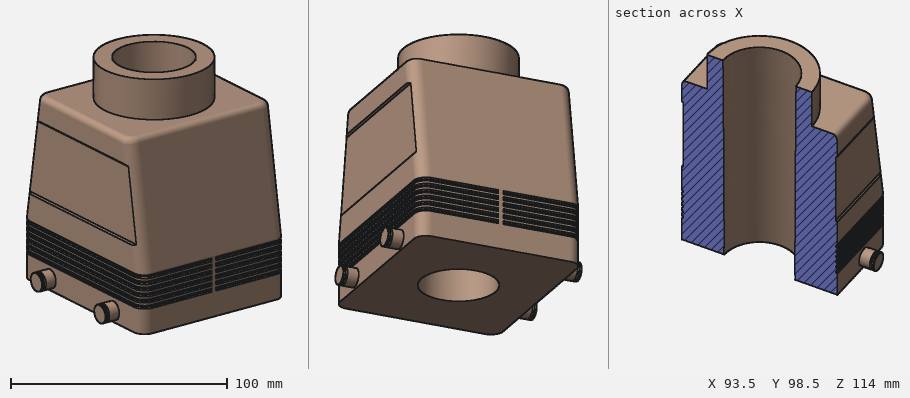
import cadquery as cq
import math

LENGTH = 93.5
WIDTH = 82.9
BODY_HEIGHT = 93.9
BELT_HEIGHT = 30.3
TOP_LENGTH = 72.3
CORNER_RADIUS = 6.0
ROOF_RADIUS = 3.0

TOTAL_HEIGHT = 114.0
COLLAR_DIAMETER = 56.0
BORE_TOP_DIAMETER = 38.8
BORE_BOTTOM_DIAMETER = 37.6

RECESS_BOTTOM = 42.9
RECESS_TOP = 81.2
RECESS_DEPTH = 0.8

GROOVE_COUNT = 6
GROOVE_SPAN = 15.0
LOWEST_GROOVE = 13.5
GROOVE_WIDTH = 1.7
GROOVE_FLOOR = 0.5
GROOVE_DEPTH = 0.6
GROOVE_GAP = 2.6

PEG_SPACING = 49.4
PEG_HEIGHT = 5.8
PEG_DIAMETER = 9.2
PEG_TIP_SPAN = 98.5
PEG_HEAD_THICKNESS = 1.1
PEG_NECK_LENGTH = 1.0
PEG_NECK_DIAMETER = 5.1
PEG_CHAMFER = 0.2


def make_body():
    half = LENGTH / 2
    half_top = TOP_LENGTH / 2
    outline = [
        (-half, 0),
        (half, 0),
        (half, BELT_HEIGHT),
        (half_top, BODY_HEIGHT),
        (-half_top, BODY_HEIGHT),
        (-half, BELT_HEIGHT),
    ]
    block = cq.Workplane("XZ").polyline(outline).close().extrude(WIDTH / 2, both=True)
    block = block.edges("not #Z").fillet(CORNER_RADIUS)
    return block.faces(">Z").edges().fillet(ROOF_RADIUS)


def make_recess():
    """Bar with sloping top and bottom walls, as deep as its slopes are high."""
    face = WIDTH / 2
    floor = face - RECESS_DEPTH
    profile = [
        (face, RECESS_BOTTOM),
        (floor, RECESS_BOTTOM + RECESS_DEPTH),
        (floor, RECESS_TOP - RECESS_DEPTH),
        (face, RECESS_TOP),
    ]
    bar = cq.Workplane("YZ").polyline(profile).close().extrude(LENGTH / 2, both=True)
    return bar.union(bar.mirror("XZ"))


def belt_section(inset=0.0):
    length = LENGTH - 2 * inset
    width = WIDTH - 2 * inset
    return cq.Sketch().rect(length, width).vertices().fillet(CORNER_RADIUS - inset)


def make_groove():
    """Ring with sloping shoulders around the belt, its underside at z = 0."""
    shoulder = (GROOVE_WIDTH - GROOVE_FLOOR) / 2
    slope = math.degrees(math.atan2(GROOVE_DEPTH, shoulder))
    core = (
        cq.Workplane("XY")
        .placeSketch(belt_section())
        .extrude(shoulder, taper=slope)
    )
    core = core.union(
        cq.Workplane("XY")
        .placeSketch(belt_section(GROOVE_DEPTH))
        .extrude(GROOVE_WIDTH / 2)
    )
    core = core.union(core.mirror("XY", (0, 0, GROOVE_WIDTH / 2)))
    gap = cq.Workplane("XY").box(LENGTH, GROOVE_GAP, GROOVE_WIDTH, centered=(True, True, False))
    ring = cq.Workplane("XY").placeSketch(belt_section()).extrude(GROOVE_WIDTH)
    return ring.cut(core).cut(gap)


def make_peg(x):
    """One peg pointing to -Y, turned with a narrow neck behind its head."""
    radius = PEG_DIAMETER / 2
    neck_radius = PEG_NECK_DIAMETER / 2
    tip = PEG_TIP_SPAN / 2
    head_back = tip - PEG_HEAD_THICKNESS
    neck_back = head_back - PEG_NECK_LENGTH
    root = WIDTH / 2 - CORNER_RADIUS
    profile = [
        (0, -root),
        (radius, -root),
        (radius, -neck_back),
        (neck_radius, -neck_back),
        (neck_radius, -head_back),
        (radius, -head_back),
        (radius, PEG_CHAMFER - tip),
        (radius - PEG_CHAMFER, -tip),
        (0, -tip),
    ]
    peg = cq.Workplane("XY").polyline(profile).close().revolve(360, (0, 0, 0), (0, 1, 0))
    return peg.translate((x, 0, PEG_HEIGHT))


def make_collar():
    return (
        cq.Workplane("XY")
        .workplane(offset=BODY_HEIGHT - ROOF_RADIUS)
        .circle(COLLAR_DIAMETER / 2)
        .extrude(TOTAL_HEIGHT - BODY_HEIGHT + ROOF_RADIUS)
    )


def make_bore():
    return (
        cq.Workplane("XY")
        .circle(BORE_BOTTOM_DIAMETER / 2)
        .workplane(offset=TOTAL_HEIGHT)
        .circle(BORE_TOP_DIAMETER / 2)
        .loft()
    )


result = make_body().cut(make_recess())

groove = make_groove()
groove_pitch = GROOVE_SPAN / (GROOVE_COUNT - 1)
for index in range(GROOVE_COUNT):
    centre = LOWEST_GROOVE + index * groove_pitch
    result = result.cut(groove.translate((0, 0, centre - GROOVE_WIDTH / 2)))

for x in (-PEG_SPACING / 2, PEG_SPACING / 2):
    peg = make_peg(x)
    result = result.union(peg).union(peg.mirror("XZ"))

result = result.union(make_collar()).cut(make_bore())